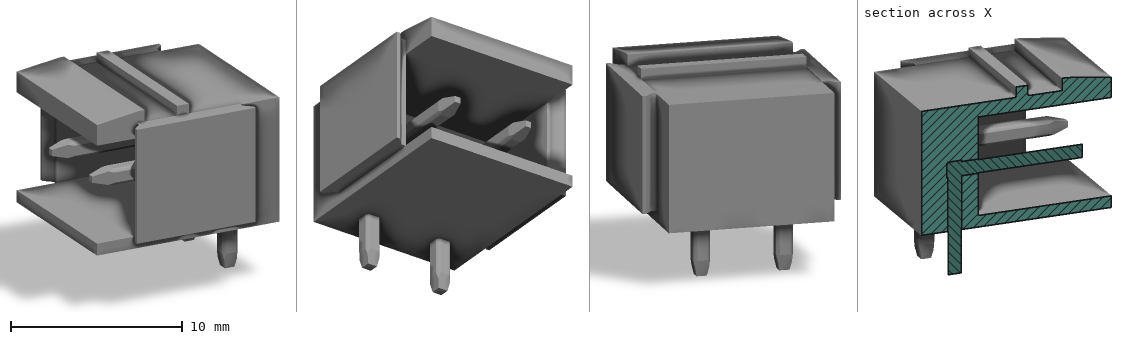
import cadquery as cq


housing_width = 10.0
housing_depth = 12.0
housing_height = 7.73
floor_thickness = 0.75
roof_underside = 6.83
cavity_depth = 8.4

lip_depth = 3.13
lip_flat_depth = 0.34
lip_top = 8.5
lip_front_top = 8.11

rib_front = 5.27
rib_back = 6.04
rib_top = 8.38
rib_root_radius = 0.1

overall_width = 12.0
plate_front = 2.1
plate_bottom = 0.7
plate_top = 7.78
plate_rim = 0.23
plate_neck = 0.3
plate_neck_inset = 0.52

pin_pitch = 5.0
pin_count = 2
pin_width = 1.01
pin_round_diameter = 1.19
pin_height = 3.79
contact_front = 0.9
contact_tip_length = 1.3
contact_tip_width = 0.38
tail_y = 9.89
tail_length = 3.2
tail_tip_length = 0.96
tail_tip_width = 0.62


def extrude_across_housing(profile):
    """Extrude a (y, z) outline over the full housing width."""
    return cq.Workplane("YZ").polyline(profile).close().extrude(housing_width / 2, both=True)


def make_shell():
    """Block with a cavity open to the front and to both sides."""
    return extrude_across_housing([
        (0, 0),
        (housing_depth, 0),
        (housing_depth, housing_height),
        (0, housing_height),
        (0, roof_underside),
        (cavity_depth, roof_underside),
        (cavity_depth, floor_thickness),
        (0, floor_thickness),
    ])


def make_lip():
    """Wedge on the roof that slopes down toward the front."""
    return extrude_across_housing([
        (0, roof_underside),
        (lip_depth, roof_underside),
        (lip_depth, lip_top),
        (lip_depth - lip_flat_depth, lip_top),
        (0, lip_front_top),
    ])


def make_rib():
    """Rib on the roof with a concave fillet along the root on each side."""
    root_top = housing_height + rib_root_radius
    outline = (
        cq.Workplane("YZ")
        .moveTo(rib_front - rib_root_radius, housing_height)
        .radiusArc((rib_front, root_top), -rib_root_radius)
        .lineTo(rib_front, rib_top)
        .lineTo(rib_back, rib_top)
        .lineTo(rib_back, root_top)
        .radiusArc((rib_back + rib_root_radius, housing_height), -rib_root_radius)
        .close()
    )
    return outline.extrude(housing_width / 2, both=True)


def make_side_plate(side):
    """Dovetail-edged plate on one side, with side -1 for -X and +1 for +X."""
    outer_x = overall_width / 2
    inner_x = housing_width / 2
    plate_back = housing_depth - plate_front
    outline = [
        (outer_x, plate_front),
        (outer_x - plate_rim, plate_front),
        (inner_x + plate_neck, plate_front + plate_neck_inset),
        (inner_x, plate_front + plate_neck_inset),
        (inner_x, plate_back - plate_neck_inset),
        (inner_x + plate_neck, plate_back - plate_neck_inset),
        (outer_x - plate_rim, plate_back),
        (outer_x, plate_back),
    ]
    mirrored = [(side * x, y) for x, y in outline]
    return (
        cq.Workplane("XY", origin=(0, 0, plate_bottom))
        .polyline(mirrored)
        .close()
        .extrude(plate_top - plate_bottom)
    )


def make_pin_bar(length, tip_length, tip_width):
    """Square bar with its long edges turned to a round, rising from Z = 0 to a tapered tip."""
    round_bar = cq.Workplane("XY").circle(pin_round_diameter / 2).extrude(length)
    shank_length = length - tip_length
    square_shank = cq.Workplane("XY").rect(pin_width, pin_width).extrude(shank_length)
    square_bar = (
        square_shank.faces(">Z")
        .workplane()
        .rect(pin_width, pin_width)
        .workplane(offset=tip_length)
        .rect(tip_width, tip_width)
        .loft(combine=True)
    )
    return round_bar.intersect(square_bar)


def make_pin(x):
    """Right-angle pin: a contact toward -Y and a solder tail toward -Z, joined at a square elbow."""
    half_width = pin_width / 2
    contact_length = tail_y + half_width - contact_front
    contact = (
        make_pin_bar(contact_length, contact_tip_length, contact_tip_width)
        .rotate((0, 0, 0), (1, 0, 0), 90)
        .translate((x, tail_y + half_width, pin_height))
    )
    tail = (
        make_pin_bar(pin_height + half_width + tail_length, tail_tip_length, tail_tip_width)
        .rotate((0, 0, 0), (1, 0, 0), 180)
        .translate((x, tail_y, pin_height + half_width))
    )
    return contact.union(tail)


pins = []
for index in range(pin_count):
    pin_x = (index - (pin_count - 1) / 2) * pin_pitch
    pins.append(make_pin(pin_x))

housing = make_shell().union(make_lip()).union(make_rib())
for side in (-1, 1):
    housing = housing.union(make_side_plate(side))
for pin in pins:
    housing = housing.cut(pin)

result = cq.Compound.makeCompound([*housing.solids().vals(), *[pin.solids().val() for pin in pins]])